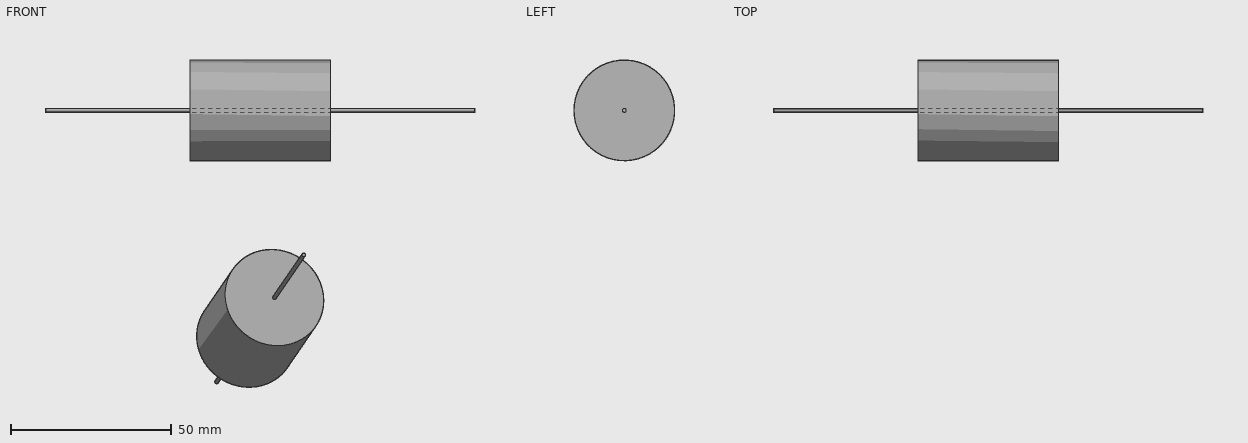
import cadquery as cq

total_length = 134.0
housing_length = 44.0
housing_diameter = 31.5
lead_diameter = 1.2


def rod_along_x(diameter, length):
    """Solid round rod centred on the origin, with its axis along X."""
    return cq.Workplane("YZ", origin=(-length / 2, 0, 0)).circle(diameter / 2).extrude(length)


def make_lead():
    """Straight axial wire that sticks out equally at both ends."""
    return rod_along_x(lead_diameter, total_length)


def make_housing():
    """Cylindrical housing with a through bore that fits the lead."""
    bore = rod_along_x(lead_diameter, housing_length)
    return rod_along_x(housing_diameter, housing_length).cut(bore)


housing = make_housing()
lead = make_lead()

result = cq.Compound.makeCompound([housing.val(), lead.val()])